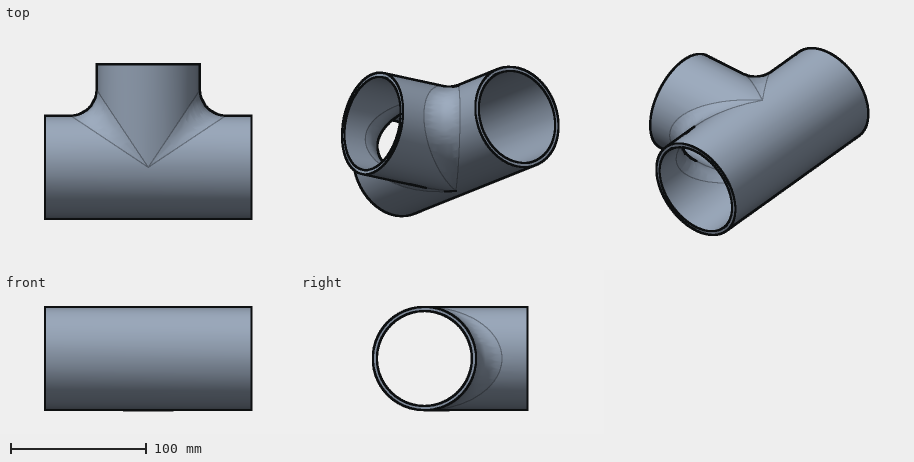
import cadquery as cq
import math

outer_diameter = 76.1
wall = 3.2
run_length = 152.0
branch_reach = run_length / 2
crotch_radius = 19.0

outer_radius = outer_diameter / 2
inner_radius = outer_radius - wall
blend_centre = outer_radius + crotch_radius

arc_steps = 16
height_steps = 32
surface_tolerance = 1e-4
joining_tolerance = 3e-3


def pipe_cores(radius):
    """Run and branch as plain solid cylinders."""
    run = cq.Workplane("YZ").circle(radius).extrude(run_length / 2, both=True)
    branch = cq.Workplane("XZ").circle(radius).extrude(-branch_reach)
    return run.union(branch)


def crotch_point(radius, turn, latitude):
    """Point of the blend surface.

    Each level cut of the blend is the mid-height crotch arc, shrunk about the Z axis
    in step with the half width of the pipes at that level.
    """
    arc_radius = blend_centre - radius
    shrink = math.cos(latitude)
    x = (blend_centre - arc_radius * math.cos(turn)) * shrink
    y = (blend_centre - arc_radius * math.sin(turn)) * shrink
    return cq.Vector(x, y, radius * math.sin(latitude))


def crotch_wedge(radius):
    """Solid between the Z axis and the blend surface, on the +X side."""
    turns = [math.pi / 2 * i / arc_steps for i in range(arc_steps + 1)]
    latitudes = [math.pi * (j / height_steps - 0.5) for j in range(height_steps + 1)]
    points = [[crotch_point(radius, turn, latitude) for latitude in latitudes] for turn in turns]
    blend = cq.Face.makeSplineApprox(points, tol=surface_tolerance)

    pole = cq.Vector(0, 0, radius)
    axis_edge = cq.Edge.makeLine(pole, -pole)
    sides = [
        cq.Face.makeFromWires(cq.Wire.assembleEdges([edge, axis_edge]))
        for edge in blend.Edges()
    ]
    return cq.Workplane(cq.Solid.makeSolid(cq.Shell.makeShell([blend] + sides)))


def tee_core(radius):
    """Solid tee of the given pipe radius, with both crotches blended."""
    wedge = crotch_wedge(radius)
    core = pipe_cores(radius).union(wedge, tol=joining_tolerance)
    return core.union(wedge.mirror("YZ"), tol=joining_tolerance)


result = tee_core(outer_radius).cut(tee_core(inner_radius))